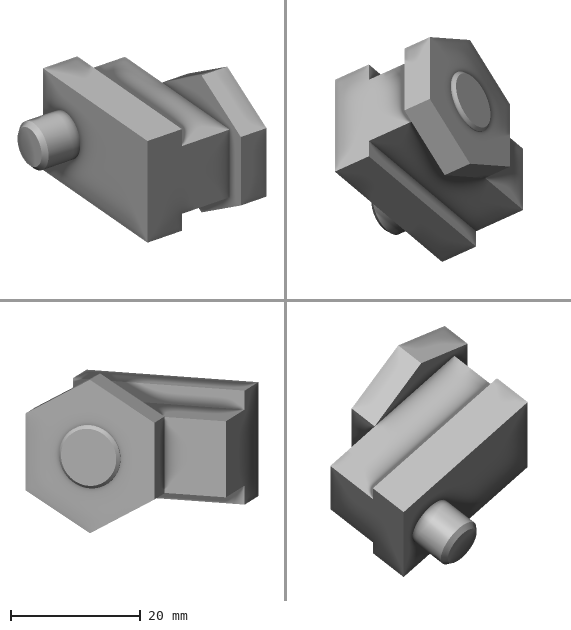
import cadquery as cq
import math

block_length = 28.0
flange_height = 18.0
flange_depth = 6.5
web_height = 12.0
web_depth = 9.0

pin_diameter = 8.0
pin_tip_diameter = 6.466
pin_length = 6.75
pin_chamfer_length = (pin_diameter - pin_tip_diameter) / 2
pin_x = 6.0

hex_across_flats = 21.0
hex_thickness = 4.85
hex_x = 20.5
boss_diameter = 10.0
boss_chamfer = 0.5
boss_height = 0.62
boss_rim_height = boss_height - boss_chamfer

web_start = flange_depth
hex_start = web_start + web_depth
boss_start = hex_start + hex_thickness


def block_bar(height, start, depth):
    """Bar along X, centred on Z = 0."""
    bar = cq.Workplane("XY").box(block_length, depth, height, centered=(False, False, True))
    return bar.translate((0, start, 0))


def turned_y(profile, x):
    """Solid of revolution about the Y-parallel axis at x, from (radius, Y) points."""
    turned = cq.Workplane("XY").polyline(profile).close().revolve(360, (0, 0), (0, 1))
    return turned.translate((x, 0, 0))


def make_pin():
    """Pin pointing along -Y from the flange, with a 45 degree chamfer at its tip."""
    radius = pin_diameter / 2
    return turned_y(
        [
            (0, 0),
            (radius, 0),
            (radius, pin_chamfer_length - pin_length),
            (pin_tip_diameter / 2, -pin_length),
            (0, -pin_length),
        ],
        pin_x,
    )


def make_hex_head():
    """Hexagon with its flats facing X and its corners up and down in Z."""
    corner_diameter = hex_across_flats / math.cos(math.radians(30))
    return (
        cq.Workplane("XZ")
        .polygon(6, corner_diameter)
        .extrude(-hex_thickness)
        .rotate((0, 0, 0), (0, 1, 0), 30)
        .translate((hex_x, hex_start, 0))
    )


def make_boss():
    """Low disc with a straight rim and a 45 degree chamfered end, centred on the hexagonal head."""
    radius = boss_diameter / 2
    boss_end = boss_start + boss_height
    return turned_y(
        [
            (0, boss_start),
            (radius, boss_start),
            (radius, boss_start + boss_rim_height),
            (radius - boss_chamfer, boss_end),
            (0, boss_end),
        ],
        hex_x,
    )


flange = block_bar(flange_height, 0, flange_depth)
web = block_bar(web_height, web_start, web_depth)
result = flange.union(web).union(make_pin()).union(make_hex_head()).union(make_boss())